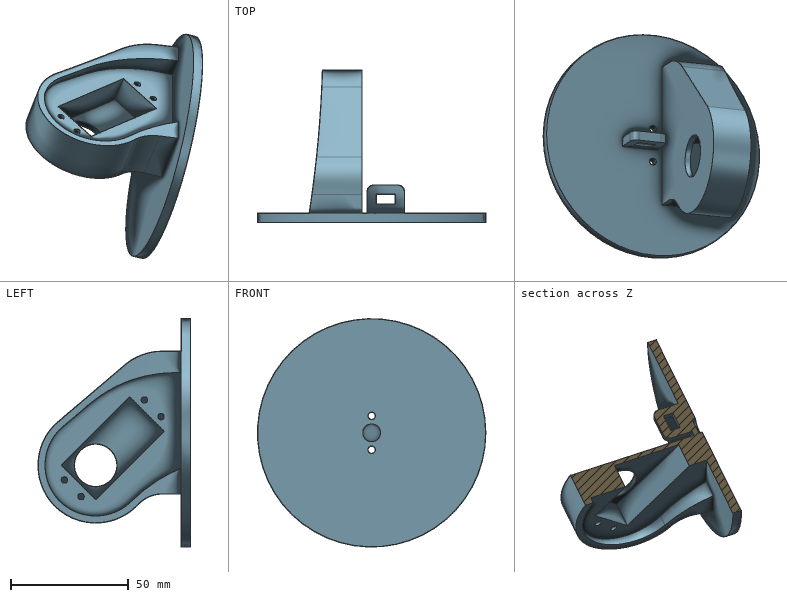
import cadquery as cq
import math

disc_radius = 48.5
disc_thickness = 4.0
hub_recess_diameter = 7.5
hub_recess_depth = 1.5
hub_screw_diameter = 3.0
hub_screw_offset = 7.2

arm_reach = 64.78
arm_radius = 24.5
foot_y = 12.0
foot_top_z = 34.7
foot_bottom_z = -26.0
tip_z = -13.8
tip_y = arm_reach - arm_radius
foot_center_z = foot_top_z - arm_radius

tip_arc_start_angle = 45.0

flank_normal = 90 + math.degrees(math.atan2(tip_z - foot_center_z, tip_y - foot_y))

arm_inner_x = -4.0
arm_outer_x_base = -26.55
arm_outer_x_tip = -20.95
arm_outer_sagitta = 0.95

pocket_floor_x = -18.4
rim_width = 3.0
pocket_radius = arm_radius - rim_width
pocket_top_z = 25.6
pocket_bottom_z = -15.0
pocket_top_radius = 56.0
pocket_lower_angle = 225.0

servo_length = 41.0
servo_width = 20.7
servo_floor_x = -6.4
servo_shaft_offset = 10.25
servo_tilt = -45.0
servo_screw_diameter = 2.7
servo_screw_depth = 8.0
servo_screw_spacing_long = 48.0
servo_screw_spacing_wide = 10.0
shaft_hole_diameter = 18.0

lug_x_min = -2.0
lug_wall = 4.0
lug_slot_width = 8.0
lug_slot_height = 4.0
lug_thickness = 4.0
lug_corner_radius = 3.0


def on_circle(center_y, center_z, radius, angle):
    """Point on a circle in the YZ plane, the angle counted from +Y towards +Z."""
    turn = math.radians(angle)
    return (center_y + radius * math.cos(turn), center_z + radius * math.sin(turn))


def extrude_x(sketch, x_from, x_to):
    """Extrude a YZ sketch drawn at X = 0 between two X positions."""
    return sketch.extrude(x_to - x_from).translate((x_from, 0, 0))


def make_disc():
    disc = cq.Workplane("XZ").circle(disc_radius).extrude(-disc_thickness)
    recess = cq.Workplane("XZ").circle(hub_recess_diameter / 2).extrude(-hub_recess_depth)
    screws = (
        cq.Workplane("XZ")
        .pushPoints([(0, hub_screw_offset), (0, -hub_screw_offset)])
        .circle(hub_screw_diameter / 2)
        .extrude(-disc_thickness)
    )
    return disc.cut(recess).cut(screws)


def arm_outline():
    run = tip_y - foot_y
    drop = foot_bottom_z - tip_z
    fillet_radius = (run**2 + drop**2 - arm_radius**2) / (2 * (arm_radius + drop))
    fillet_z = foot_bottom_z - fillet_radius
    fillet_angle = math.degrees(math.atan2(tip_z - fillet_z, run))

    return (
        cq.Workplane("YZ")
        .moveTo(disc_thickness, foot_bottom_z)
        .lineTo(disc_thickness, foot_top_z)
        .lineTo(foot_y, foot_top_z)
        .threePointArc(
            on_circle(foot_y, foot_center_z, arm_radius, (90 + flank_normal) / 2),
            on_circle(foot_y, foot_center_z, arm_radius, flank_normal),
        )
        .lineTo(*on_circle(tip_y, tip_z, arm_radius, tip_arc_start_angle))
        .threePointArc(
            (arm_reach, tip_z),
            on_circle(tip_y, tip_z, arm_radius, 180 + fillet_angle),
        )
        .threePointArc(
            on_circle(foot_y, fillet_z, fillet_radius, (90 + fillet_angle) / 2),
            (foot_y, foot_bottom_z),
        )
        .close()
    )


def arm_plan():
    """Plan of the arm, taller than the arm, carrying the curved outer face."""
    mid_x = (arm_outer_x_base + arm_outer_x_tip) / 2 + arm_outer_sagitta
    mid_y = (disc_thickness + arm_reach) / 2
    return (
        cq.Workplane("XY")
        .moveTo(arm_inner_x, disc_thickness)
        .lineTo(arm_outer_x_base, disc_thickness)
        .threePointArc((mid_x, mid_y), (arm_outer_x_tip, arm_reach))
        .lineTo(arm_inner_x, arm_reach)
        .close()
        .extrude(disc_radius, both=True)
    )


def pocket_outline():
    turn = math.radians(flank_normal)
    top_center_z = pocket_top_z - pocket_top_radius
    radius_gap = pocket_radius - pocket_top_radius
    top_center_y = tip_y + (radius_gap - (top_center_z - tip_z) * math.sin(turn)) / math.cos(turn)

    return (
        cq.Workplane("YZ")
        .moveTo(disc_thickness, pocket_bottom_z)
        .lineTo(disc_thickness, pocket_top_z)
        .lineTo(top_center_y, pocket_top_z)
        .threePointArc(
            on_circle(top_center_y, top_center_z, pocket_top_radius, (90 + flank_normal) / 2),
            on_circle(top_center_y, top_center_z, pocket_top_radius, flank_normal),
        )
        .lineTo(*on_circle(tip_y, tip_z, pocket_radius, flank_normal))
        .threePointArc(
            (tip_y + pocket_radius, tip_z),
            on_circle(tip_y, tip_z, pocket_radius, pocket_lower_angle),
        )
        .tangentArcPoint((disc_thickness, pocket_bottom_z), relative=False)
        .close()
    )


def servo_sketch():
    """YZ workplane centred on the servo body, its first axis along the servo."""
    center_y, center_z = on_circle(tip_y, tip_z, servo_shaft_offset, 180 + servo_tilt)
    return (
        cq.Workplane("YZ")
        .center(center_y, center_z)
        .transformed(rotate=(0, 0, servo_tilt))
    )


def make_arm():
    arm = extrude_x(arm_outline(), arm_outer_x_base, arm_inner_x).intersect(arm_plan())

    pocket = extrude_x(pocket_outline(), arm_outer_x_base, pocket_floor_x)
    recess = extrude_x(servo_sketch().rect(servo_length, servo_width), pocket_floor_x, servo_floor_x)
    screws = extrude_x(
        servo_sketch()
        .rect(servo_screw_spacing_long, servo_screw_spacing_wide, forConstruction=True)
        .vertices()
        .circle(servo_screw_diameter / 2),
        pocket_floor_x,
        pocket_floor_x + servo_screw_depth,
    )
    shaft_hole = extrude_x(
        cq.Workplane("YZ").center(tip_y, tip_z).circle(shaft_hole_diameter / 2),
        arm_outer_x_base,
        arm_inner_x,
    )
    return arm.cut(pocket).cut(recess).cut(screws).cut(shaft_hole)


def make_lug():
    lug_width = lug_slot_width + 2 * lug_wall
    lug_height = lug_slot_height + 2 * lug_wall
    lug = (
        cq.Workplane("XY")
        .box(lug_width, lug_height, lug_thickness, centered=(False, False, True))
        .edges("|Z and >Y")
        .fillet(lug_corner_radius)
    )
    slot = (
        cq.Workplane("XY")
        .box(lug_slot_width, lug_slot_height, lug_thickness, centered=(False, False, True))
        .translate((lug_wall, lug_wall, 0))
    )
    return lug.cut(slot).translate((lug_x_min, disc_thickness, 0))


result = make_disc().union(make_arm()).union(make_lug())